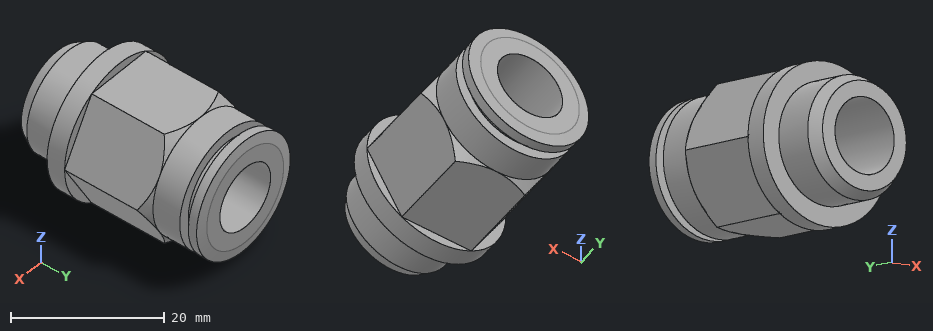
import cadquery as cq
import math

total_length = 32.0
bore_diameter = 10.3

spigot_diameter = 16.6
spigot_tip_diameter = 14.6
spigot_chamfer_length = 1.8
flange_start = 7.5
hex_across_corners = 22.0
flange_diameter = hex_across_corners
flange_thickness = 3.0

hex_across_flats = hex_across_corners * math.cos(math.pi / 6)
hex_end = 24.3
collar_diameter = hex_across_flats
collar_end = 28.85

neck_diameter = 15.6
cap_start = 30.3
cap_diameter = collar_diameter
cap_face_diameter = 15.6
cap_crown_height = 0.3

hex_start = flange_start + flange_thickness


def frustum(start, end, start_diameter, end_diameter):
    """Solid cone or cylinder along +Y between two stations."""
    profile = (
        cq.Workplane("XY")
        .moveTo(0, start)
        .lineTo(start_diameter / 2, start)
        .lineTo(end_diameter / 2, end)
        .lineTo(0, end)
        .close()
    )
    return profile.revolve(360, (0, 0, 0), (0, 1, 0))


def cylinder(start, end, diameter):
    """Solid cylinder along +Y between two stations."""
    return frustum(start, end, diameter, diameter)


def spigot():
    """Plain round spigot with a tapered tip."""
    tip = frustum(0, spigot_chamfer_length, spigot_tip_diameter, spigot_diameter)
    return tip.union(cylinder(spigot_chamfer_length, flange_start, spigot_diameter))


def hexagon():
    """Wrench hexagon with corners on the X axis, its far end turned to a 45 degree cone."""
    length = hex_end - hex_start
    prism = (
        cq.Workplane("XZ", origin=(0, hex_start, 0))
        .polygon(6, hex_across_corners)
        .extrude(-length)
    )
    cone = frustum(hex_start, hex_end, hex_across_flats + 2 * length, hex_across_flats)
    return prism.intersect(cone)


def cap():
    """Release button: a neck carrying a disc with a slightly crowned face."""
    rim_end = total_length - cap_crown_height
    neck = cylinder(collar_end, cap_start, neck_diameter)
    disc = cylinder(cap_start, rim_end, cap_diameter)
    crown = frustum(rim_end, total_length, cap_diameter, cap_face_diameter)
    return neck.union(disc).union(crown)


body = (
    spigot()
    .union(cylinder(flange_start, hex_start, flange_diameter))
    .union(hexagon())
    .union(cylinder(hex_end, collar_end, collar_diameter))
    .union(cap())
)
result = body.cut(cylinder(0, total_length, bore_diameter))